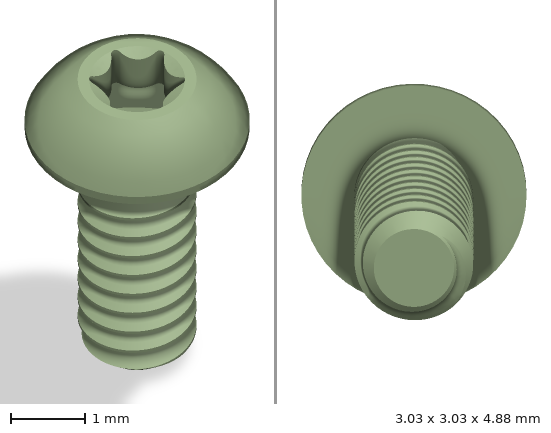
import cadquery as cq
import math


head_diameter = 3.03
head_height = 0.88
rim_height = 0.13
crown_diameter = 1.6

thread_diameter = 1.6
thread_pitch = 0.35
shank_length = 4.0
tip_diameter = 1.08
shank_overlap = 0.25
groove_top_angle = 30.0
groove_end_angle = 60.0
flank_angle = 30.0

lobe_count = 6
socket_diameter = 1.29
flute_diameter = 0.94
lobe_tip_radius = 0.07
socket_depth = 0.61
countersink_slope = 25.0

head_radius = head_diameter / 2
crown_radius = crown_diameter / 2
thread_radius = thread_diameter / 2
tip_chamfer = (thread_diameter - tip_diameter) / 2
socket_radius = socket_diameter / 2
flute_inner_radius = flute_diameter / 2


def polar(radius, angle):
    """Point in the XY plane at the given radius and angle in degrees."""
    return radius * math.cos(math.radians(angle)), radius * math.sin(math.radians(angle))


def make_head():
    """Spherical dome, centred on the axis, above a short cylindrical rim."""
    center_z = (crown_radius**2 + head_height**2 - head_radius**2 - rim_height**2) / (
        2 * (head_height - rim_height)
    )
    dome_radius = math.hypot(crown_radius, head_height - center_z)
    middle_radius = (crown_radius + head_radius) / 2
    middle_z = center_z + math.sqrt(dome_radius**2 - middle_radius**2)
    return (
        cq.Workplane("XZ")
        .lineTo(head_radius, 0)
        .lineTo(head_radius, rim_height)
        .threePointArc((middle_radius, middle_z), (crown_radius, head_height))
        .lineTo(0, head_height)
        .close()
        .revolve(360, (0, 0, 0), (0, 1, 0))
    )


def make_thread_groove():
    """Right-hand helical V groove from below the tip to just past the head underside."""
    crest_width = thread_pitch / 8
    root_width = thread_pitch / 8
    flank_slope = math.tan(math.radians(flank_angle))
    groove_depth = (thread_pitch - crest_width - root_width) / (2 * flank_slope)
    root_radius = thread_radius - groove_depth
    overshoot = crest_width / 4
    outer_radius = thread_radius + overshoot
    root_half = root_width / 2
    outer_half = root_half + (groove_depth + overshoot) * flank_slope

    end_z = thread_pitch * (groove_end_angle - groove_top_angle) / 360
    turns = math.ceil((shank_length + outer_half + end_z) / thread_pitch)
    helix_height = turns * thread_pitch
    helix = cq.Wire.makeHelix(thread_pitch, helix_height, root_radius)
    groove = (
        cq.Workplane("XZ")
        .moveTo(root_radius, -root_half)
        .lineTo(outer_radius, -outer_half)
        .lineTo(outer_radius, outer_half)
        .lineTo(root_radius, root_half)
        .close()
        .sweep(cq.Workplane(helix), isFrenet=True)
    )
    placed = groove.translate((0, 0, end_z - helix_height))
    return placed.rotate((0, 0, 0), (0, 0, 1), groove_end_angle)


def make_shank():
    """Threaded shank with a 45 degree chamfer at the tip."""
    blank = (
        cq.Workplane("XY", origin=(0, 0, -shank_length))
        .circle(thread_radius)
        .extrude(shank_length + shank_overlap)
        .faces("<Z")
        .chamfer(tip_chamfer)
    )
    return blank.cut(make_thread_groove())


def make_socket():
    """Six-lobe recess of tangent arcs, with a shallow conical countersink."""
    lobe_step = 360 / lobe_count
    half_step = lobe_step / 2
    lobe_center = socket_radius - lobe_tip_radius

    center_projection = lobe_center * math.cos(math.radians(half_step))
    flute_radius = (
        flute_inner_radius**2
        + lobe_center**2
        - 2 * flute_inner_radius * center_projection
        - lobe_tip_radius**2
    ) / (2 * (center_projection + lobe_tip_radius - flute_inner_radius))
    flute_center = flute_inner_radius + flute_radius

    tip_share = lobe_tip_radius / (lobe_tip_radius + flute_radius)
    tip_x, tip_y = polar(lobe_center, half_step)
    tangent_x = tip_x + tip_share * (flute_center - tip_x)
    tangent_y = tip_y * (1 - tip_share)
    tangent_radius = math.hypot(tangent_x, tangent_y)
    tangent_angle = math.degrees(math.atan2(tangent_y, tangent_x))

    outline = cq.Workplane("XY").moveTo(*polar(tangent_radius, -tangent_angle))
    for index in range(lobe_count):
        flute_angle = index * lobe_step
        flute_end = polar(tangent_radius, flute_angle + tangent_angle)
        lobe_end = polar(tangent_radius, flute_angle + lobe_step - tangent_angle)
        outline = outline.threePointArc(polar(flute_inner_radius, flute_angle), flute_end)
        outline = outline.threePointArc(polar(socket_radius, flute_angle + half_step), lobe_end)
    recess = outline.close().extrude(socket_depth).translate((0, 0, head_height - socket_depth))

    cone_height = socket_radius * math.tan(math.radians(countersink_slope))
    countersink = (
        cq.Workplane("XZ")
        .moveTo(0, head_height - cone_height)
        .lineTo(socket_radius, head_height)
        .lineTo(0, head_height)
        .close()
        .revolve(360, (0, 0, 0), (0, 1, 0))
    )
    return recess.union(countersink)


result = make_head().cut(make_socket()).union(make_shank())